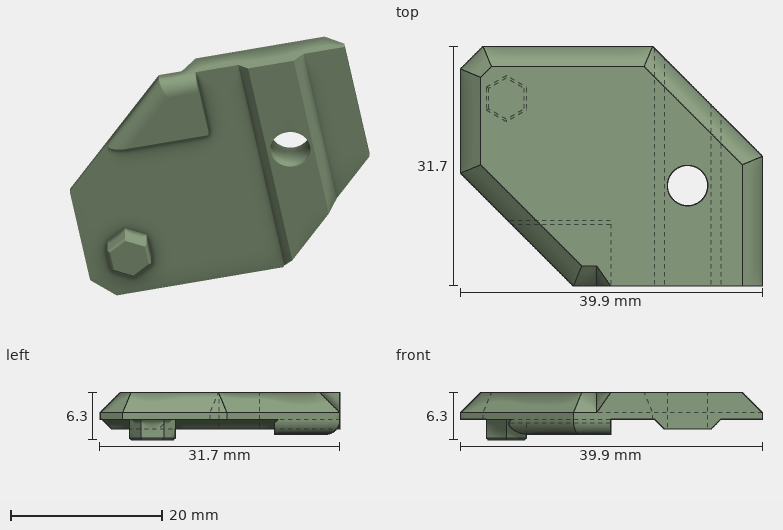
import cadquery as cq
import math

length = 39.9
width = 31.7
total_height = 6.3
plate_thickness = 3.55
bevel = 2.67
rim_height = plate_thickness - bevel
back_left_cut = 3.0
front_left_cut = 14.92
back_right_cut = 14.52

stub_end_x = 18.0
stub_wall_top_x = 19.87

hole_diameter = 5.3
hole_x = 30.0
hole_y = 13.3

rail_height = 1.3
rail_bottom_width = 6.15
rail_top_width = rail_bottom_width + 2 * rail_height

pad_depth = 2.0
pad_radius = 1.9
pad_end_x = stub_wall_top_x
pad_end_y = 8.65
pad_undercut = 0.48

peg_across_flats = 5.25
peg_height = total_height - plate_thickness
peg_chamfer = 0.28
peg_x = 6.05
peg_y = 24.78

outline = [
    (front_left_cut, 0),
    (length, 0),
    (length, width - back_right_cut),
    (length - back_right_cut, width),
    (back_left_cut, width),
    (0, width - back_left_cut),
    (0, front_left_cut),
]


def vertical_prism(points, bottom, height):
    return cq.Workplane("XY").workplane(offset=bottom).polyline(points).close().extrude(height)


def make_front_fill():
    """Wedge that keeps the front edge square to the right of the bevel stub."""
    side = (
        cq.Workplane("YZ", origin=(stub_end_x, 0, 0))
        .polyline([(0, rim_height), (0, plate_thickness), (bevel, plate_thickness)])
        .close()
        .extrude(length - stub_end_x)
    )
    corner = cq.Vector(stub_end_x, 0, rim_height)
    inner = cq.Vector(stub_end_x, bevel, plate_thickness)
    outer = cq.Vector(stub_wall_top_x, 0, plate_thickness)
    wall_normal = (outer - corner).cross(inner - corner)
    if wall_normal.x < 0:
        wall_normal = wall_normal * -1
    wall = cq.Plane(origin=corner.toTuple(), normal=wall_normal.toTuple())
    beyond_wall = cq.Workplane(wall).rect(2 * length, 2 * length).extrude(length)
    end_profile = [
        (0, 0),
        (length, 0),
        (length, rim_height),
        (length - bevel, plate_thickness),
        (0, plate_thickness),
    ]
    right_end = cq.Workplane("XZ").polyline(end_profile).close().extrude(-width)
    return side.intersect(beyond_wall).intersect(right_end)


def make_plate():
    plate = vertical_prism(outline, 0, plate_thickness)
    plate = plate.faces(">Z").chamfer(bevel)
    return plate.union(make_front_fill())


def make_rail():
    profile = [
        (hole_x - rail_top_width / 2, 0),
        (hole_x + rail_top_width / 2, 0),
        (hole_x + rail_bottom_width / 2, -rail_height),
        (hole_x - rail_bottom_width / 2, -rail_height),
    ]
    rail = cq.Workplane("XZ").polyline(profile).close().extrude(-width)
    return rail.intersect(vertical_prism(outline, -rail_height, rail_height))


def make_pad():
    """Pad under the front left corner, rounded along the two outer edges."""
    points = [
        (front_left_cut, 0),
        (pad_end_x, 0),
        (pad_end_x, pad_end_y),
        (front_left_cut - pad_end_y, pad_end_y),
    ]
    pad = vertical_prism(points, -pad_depth, pad_depth)
    pad = pad.faces(">Y").edges(">Z").chamfer(pad_undercut)
    diagonal_middle = (front_left_cut - pad_end_y / 2, pad_end_y / 2, -pad_depth)
    front_middle = ((front_left_cut + pad_end_x) / 2, 0, -pad_depth)
    outer_edges = pad.edges(cq.selectors.NearestToPointSelector(diagonal_middle)).add(
        pad.edges(cq.selectors.NearestToPointSelector(front_middle))
    )
    return outer_edges.fillet(pad_radius)


def make_peg():
    across_corners = peg_across_flats / math.cos(math.pi / 6)
    return (
        cq.Workplane("XY")
        .polygon(6, across_corners)
        .extrude(-peg_height)
        .faces("<Z")
        .chamfer(peg_chamfer)
        .rotate((0, 0, 0), (0, 0, 1), 90)
        .translate((peg_x, peg_y, 0))
    )


hole = (
    cq.Workplane("XY", origin=(hole_x, hole_y, -rail_height))
    .circle(hole_diameter / 2)
    .extrude(rail_height + plate_thickness)
)

result = make_plate().union(make_rail()).union(make_pad()).union(make_peg()).cut(hole)